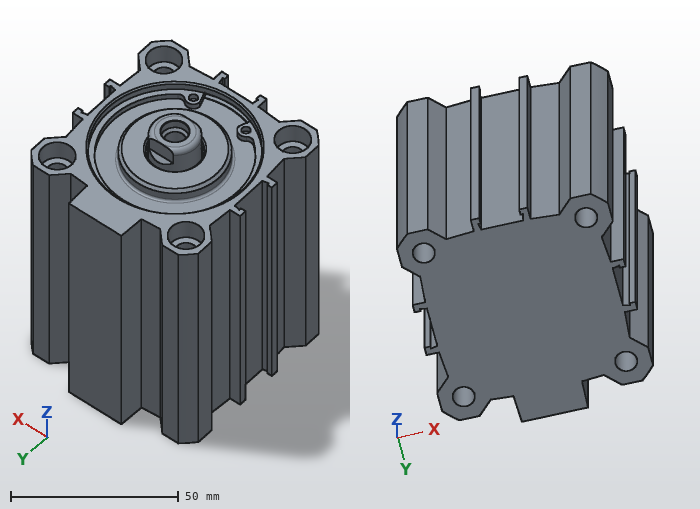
import cadquery as cq
import math

total_height = 92.0
total_width = 65.0
total_depth = 70.0
housing_height = 84.6

half_width = total_width / 2
flank_crest = 28.6
flank_foot = 28.0
lug_start = 28.2
lug_end = 22.0
block_half_width = 10.2
block_root_half_width = 10.6
block_reach = total_depth - half_width

rib_outer = 8.7
rib_neck = 6.9
rib_root = 6.4
rib_lip = 6.2
rib_lip_thickness = 1.8

mount_spacing = 50.05
mount_hole_diameter = 6.6
mount_counterbore_diameter = 11.0
mount_counterbore_depth = 7.0

bore_diameter = 52.2
bore_chamfer = 0.55
chamfer_angle = 45.0
groove_diameter = 55.2

cover_diameter = 51.8
cover_thickness = 14.7
cover_face_depth = 4.9
hub_diameter = 34.0
hub_top_depth = 0.5
hub_chamfer = 1.0
hub_base_fillet = 0.8
hub_mouth_diameter = 17.7
hub_mouth_depth = 2.8
hub_mouth_chamfer = 0.55
rod_passage_diameter = 16.6

ring_thickness = 2.0
ring_inner_radius = 24.1
ring_gap_half_angle = 20.0
ear_x = 10.2
ear_y = -21.0
ear_radius = 2.7
ear_hole_diameter = 2.8
ear_blend_radius = 2.2

rod_diameter = 16.0
rod_edge_radius = 1.75
flat_spacing = 13.0
flat_depth = 5.4
thread_diameter = 8.6
thread_mouth_diameter = 8.8
thread_depth = 3.0
drill_diameter = 6.7
drill_depth = 18.4
drill_tip_angle = 118.0

cover_face_z = housing_height - cover_face_depth
cover_bottom_z = cover_face_z - cover_thickness
ring_top_z = cover_face_z + ring_thickness


def cylinder(diameter, bottom, top):
    return cq.Workplane("XY").workplane(offset=bottom).circle(diameter / 2).extrude(top - bottom)


def quarter_outline():
    """Half a flank and one lug corner: a quarter of the body between two neighbouring flanks."""
    corner_reach = math.hypot(half_width, lug_start) / math.sqrt(2)
    return (
        cq.Workplane("XY")
        .moveTo(0, 0)
        .lineTo(flank_crest, 0)
        .lineTo(flank_crest, rib_outer)
        .lineTo(flank_foot, flank_foot - half_width + lug_end)
        .lineTo(half_width, lug_end)
        .lineTo(half_width, lug_start)
        .threePointArc((corner_reach, corner_reach), (lug_start, half_width))
        .lineTo(lug_end, half_width)
        .lineTo(flank_foot - half_width + lug_end, flank_foot)
        .lineTo(rib_outer, flank_crest)
        .lineTo(0, flank_crest)
        .close()
    )


def t_slot_rib():
    """One hooked rib on the +X flank, above the slot centre line."""
    lip_start = half_width - rib_lip_thickness
    outline = [
        (flank_foot, rib_outer),
        (half_width, rib_outer),
        (half_width, rib_lip),
        (lip_start, rib_lip),
        (lip_start, rib_neck),
        (flank_crest, rib_root),
        (flank_foot, rib_root),
    ]
    return cq.Workplane("XY").polyline(outline).close().extrude(housing_height)


def make_housing():
    quarter = quarter_outline().extrude(housing_height)
    body = quarter
    for turn in (90, 180, 270):
        body = body.union(quarter.rotate((0, 0, 0), (0, 0, 1), turn))

    rib_pair = t_slot_rib().add(t_slot_rib().mirror("XZ")).combine()
    for turn in (0, 180, 270):
        body = body.union(rib_pair.rotate((0, 0, 0), (0, 0, 1), turn))

    block = (
        cq.Workplane("XY")
        .polyline([
            (-block_root_half_width, flank_foot),
            (block_root_half_width, flank_foot),
            (block_half_width, block_reach),
            (-block_half_width, block_reach),
        ])
        .close()
        .extrude(housing_height)
    )
    body = body.union(block)

    body = body.cut(cylinder(bore_diameter, cover_bottom_z, housing_height))
    mouth = (
        cq.Workplane("XY")
        .workplane(offset=housing_height)
        .circle(bore_diameter / 2 + bore_chamfer)
        .extrude(-2 * bore_chamfer, taper=chamfer_angle)
    )
    body = body.cut(mouth)
    body = body.cut(cylinder(groove_diameter, cover_face_z, ring_top_z))

    return (
        body.faces(">Z")
        .workplane(origin=(0, 0, housing_height))
        .rect(mount_spacing, mount_spacing, forConstruction=True)
        .vertices()
        .cboreHole(mount_hole_diameter, mount_counterbore_diameter, mount_counterbore_depth)
    )


def make_cover():
    """Revolved disc with a central hub and a stepped rod passage."""
    hub_top = housing_height - hub_top_depth
    hub_radius = hub_diameter / 2
    mouth_radius = hub_mouth_diameter / 2
    passage_radius = rod_passage_diameter / 2
    blend_offset = hub_base_fillet * (1 - math.sqrt(0.5))
    return (
        cq.Workplane("XZ")
        .moveTo(passage_radius, cover_bottom_z)
        .lineTo(cover_diameter / 2, cover_bottom_z)
        .lineTo(cover_diameter / 2, cover_face_z)
        .lineTo(hub_radius + hub_base_fillet, cover_face_z)
        .threePointArc(
            (hub_radius + blend_offset, cover_face_z + blend_offset),
            (hub_radius, cover_face_z + hub_base_fillet),
        )
        .lineTo(hub_radius, hub_top - hub_chamfer)
        .lineTo(hub_radius - hub_chamfer, hub_top)
        .lineTo(mouth_radius + hub_mouth_chamfer, hub_top)
        .lineTo(mouth_radius, hub_top - hub_mouth_chamfer)
        .lineTo(mouth_radius, hub_top - hub_mouth_depth)
        .lineTo(passage_radius, hub_top - hub_mouth_depth)
        .close()
        .revolve(360, (0, 0, 0), (0, 1, 0))
    )


def make_retaining_ring():
    """Open ring with an eyelet at each end of its gap."""
    base = cq.Workplane("XY").workplane(offset=cover_face_z)
    ring = base.circle(groove_diameter / 2).circle(ring_inner_radius).extrude(ring_thickness)
    ears = base.pushPoints([(-ear_x, ear_y), (ear_x, ear_y)])
    ring = ring.union(ears.circle(ear_radius).extrude(ring_thickness))

    gap_half_width = groove_diameter * math.tan(math.radians(ring_gap_half_angle))
    gap = (
        base.polyline([(0, 0), (gap_half_width, -groove_diameter), (-gap_half_width, -groove_diameter)])
        .close()
        .extrude(ring_thickness)
    )
    ring = ring.cut(gap)

    ear_distance = math.hypot(ear_x, ear_y)
    ear_angle = math.atan2(ear_y, ear_x)
    corner_turn = math.acos(
        (ear_distance**2 + ring_inner_radius**2 - ear_radius**2) / (2 * ear_distance * ring_inner_radius)
    )
    corner_x = ring_inner_radius * math.cos(ear_angle + corner_turn)
    corner_y = ring_inner_radius * math.sin(ear_angle + corner_turn)
    middle_z = cover_face_z + ring_thickness / 2
    for side in (-1, 1):
        corner = cq.selectors.NearestToPointSelector((side * corner_x, corner_y, middle_z))
        ring = ring.edges("|Z").edges(corner).fillet(ear_blend_radius)

    return ring.cut(ears.circle(ear_hole_diameter / 2).extrude(ring_thickness))


def make_piston_rod():
    rod = cylinder(rod_diameter, cover_bottom_z, total_height).faces(">Z").edges().fillet(rod_edge_radius)

    flat_y = flat_spacing / 2
    flat_z = total_height - flat_depth
    runout = rod_diameter - flat_y
    flat_cut = (
        cq.Workplane("YZ")
        .polyline([
            (flat_y, total_height),
            (flat_y, flat_z),
            (flat_y + runout, flat_z - runout),
            (flat_y + runout, total_height),
        ])
        .close()
        .extrude(rod_diameter, both=True)
    )
    rod = rod.cut(flat_cut).cut(flat_cut.mirror("XZ"))

    thread_radius = thread_diameter / 2
    mouth_chamfer = (thread_mouth_diameter - thread_diameter) / 2
    drill_radius = drill_diameter / 2
    step_z = total_height - thread_depth
    drill_z = total_height - drill_depth
    tip_depth = drill_radius / math.tan(math.radians(drill_tip_angle / 2))
    hole = (
        cq.Workplane("XZ")
        .polyline([
            (0, total_height),
            (thread_radius + mouth_chamfer, total_height),
            (thread_radius, total_height - mouth_chamfer),
            (thread_radius, step_z),
            (drill_radius, step_z - (thread_radius - drill_radius)),
            (drill_radius, drill_z),
            (0, drill_z - tip_depth),
        ])
        .close()
        .revolve(360, (0, 0, 0), (0, 1, 0))
    )
    return rod.cut(hole)


housing = make_housing()
cover = make_cover()
retaining_ring = make_retaining_ring()
piston_rod = make_piston_rod()

result = cq.Compound.makeCompound([
    housing.val(),
    cover.val(),
    retaining_ring.val(),
    piston_rod.val(),
])